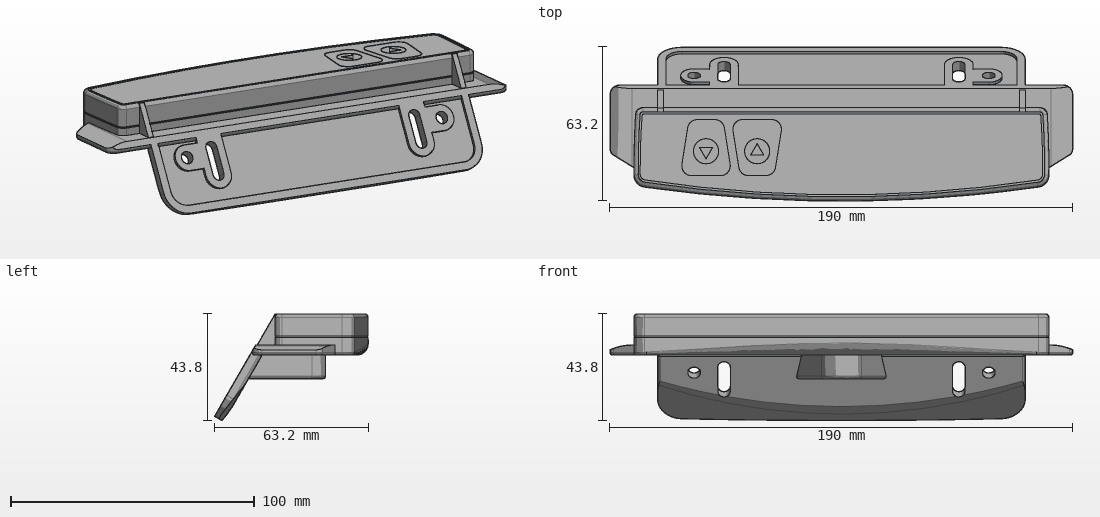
import cadquery as cq
import math


TOTAL_LENGTH = 190.0
TOTAL_DEPTH = 63.21
HOUSING_HEIGHT = 17.0

TILT = 30.0
TAN_TILT = math.tan(math.radians(TILT))
SIN_TILT = math.sin(math.radians(TILT))
COS_TILT = math.cos(math.radians(TILT))
ACROSS_FLAP = cq.selectors.ParallelDirSelector(cq.Vector(0, COS_TILT, SIN_TILT))
FLAP_FRONT = cq.selectors.DirectionMinMaxSelector(cq.Vector(0, -COS_TILT, -SIN_TILT), True)

FLAP_LENGTH = 29.0
FLAP_HALF_WIDTH = 75.5
FLAP_THICKNESS = 4.4
FLAP_ROOT = 2.0
FLAP_CORNER_RADIUS = 10.0
FLAP_FRONT_FILLET = 1.2
FLAP_RIM = 3.4
FLAP_POCKET_DEPTH = 1.2
LIGHT_BEVEL_ARC_RADIUS = 236.0
LIGHT_BEVEL_START = 21.8
LIGHT_BEVEL_ANGLE = 4.5
STEEP_BEVEL_ARC_RADIUS = 222.5
STEEP_BEVEL_START = 23.7
STEEP_BEVEL_ANGLE = 9.0
BEVEL_REACH = 40.0

BOSS_RADIUS = 5.9
ARM_RADIUS = 5.5
SLOT_WIDTH = 5.1
SLOT_X = 48.2
SLOT_LOW_CENTRE = 14.3
SLOT_HIGH_CENTRE = 25.8
HOLE_DIAMETER = 5.2
HOLE_X = 60.5
HOLE_CENTRE = 23.2

TIP_Y = FLAP_LENGTH * SIN_TILT
HOUSING_FRONT_Y = TIP_Y - TOTAL_DEPTH
HOUSING_DEPTH = 38.4
HOUSING_REAR_Y = HOUSING_FRONT_Y + HOUSING_DEPTH
HOUSING_HALF_WIDTH_FRONT = 85.2
HOUSING_HALF_WIDTH_REAR = 84.4
HOUSING_SIDE_BULGE = 0.3
FRONT_ARC_SAG = 6.4
REAR_CORNER_RADIUS = 3.0
SMALLEST_CORNER_RADIUS = 0.8
FRONT_CORNER_RADIUS = 5.1
TOP_FILLET = 1.6
BOTTOM_FILLET = 1.1
FRONT_ROUND_MIDDLE = 5.0
FRONT_ROUND_END = 1.3
FRONT_ROUND_FALLOFF = 1.5
SEAM_HEIGHT = 7.6
SEAM_WIDTH = 0.5
SEAM_DEPTH = 0.3
PANEL_INSET = 1.8
PANEL_GROOVE_WIDTH = 0.8
PANEL_GROOVE_DEPTH = 0.3

BUTTON_Y = HOUSING_FRONT_Y + 22.0
BUTTON_DEPTH = 23.0
BUTTON_NARROW = 14.0
BUTTON_WIDE = 21.3
BUTTON_CORNER_RADIUS = 4.0
BUTTON_RECESS = 0.15
RING_Y = HOUSING_FRONT_Y + 20.5
RING_DIAMETER = 10.3
ARROW_RADIUS = 3.1
DOWN_BUTTON_X = -55.6
UP_BUTTON_X = -34.6

WING_THICKNESS = 4.2
WING_TIP_THICKNESS = 2.2
WING_FLAT_HALF = 86.0
WING_REAR_STEP = 1.0
WING_REAR_RADIUS = 4.0
WING_SIDE_FRONT_Y = HOUSING_FRONT_Y + 19.8
WING_FRONT_Y = HOUSING_FRONT_Y + 13.6
WING_FRONT_HALF = 85.0
WING_FRONT_RADIUS = 3.0

RIB_THICKNESS = 2.4
RIB_SETBACK = 0.6

LUG_DEPTH = 9.7
LUG_NOSE_RADIUS = 8.8
LUG_NOSE_Y = HOUSING_FRONT_Y + 17.6
LUG_FLANK_SLOPE = 0.4
LUG_FILLET = 1.2


def housing_prism(inset, base_z, height):
    """Block with the housing's plan, drawn smaller by inset on every side."""
    half_front = HOUSING_HALF_WIDTH_FRONT - inset
    half_rear = HOUSING_HALF_WIDTH_REAR - inset
    front_y = HOUSING_FRONT_Y + inset
    rear_y = HOUSING_REAR_Y - inset
    corner_y = front_y + FRONT_ARC_SAG
    middle_x = (half_front + half_rear) / 2 + HOUSING_SIDE_BULGE
    middle_y = (corner_y + rear_y) / 2
    block = (
        cq.Workplane("XY", origin=(0, 0, base_z))
        .moveTo(-half_rear, rear_y)
        .lineTo(half_rear, rear_y)
        .threePointArc((middle_x, middle_y), (half_front, corner_y))
        .threePointArc((0, front_y), (-half_front, corner_y))
        .threePointArc((-middle_x, middle_y), (-half_rear, rear_y))
        .close()
        .extrude(height)
    )
    rear_radius = max(REAR_CORNER_RADIUS - inset, SMALLEST_CORNER_RADIUS)
    block = block.edges("|Z and >Y").fillet(rear_radius)
    return block.edges("|Z").edges("<Y").fillet(FRONT_CORNER_RADIUS - inset)


def housing_band(outer_inset, inner_inset, base_z, height):
    """Ring that follows the housing's outline between two insets."""
    outer = housing_prism(outer_inset, base_z, height)
    return outer.cut(housing_prism(inner_inset, base_z, height))


def front_round_cutter():
    """Waste below the lower front edge, whose rounding grows from both ends to the middle."""
    half = HOUSING_HALF_WIDTH_FRONT - FRONT_CORNER_RADIUS
    overshoot = 1.0
    arc_radius = (HOUSING_HALF_WIDTH_FRONT ** 2 + FRONT_ARC_SAG ** 2) / (2 * FRONT_ARC_SAG)
    diagonal = 1 - math.sqrt(0.5)
    wires = []
    for fraction in (-1.0, -0.5, 0.0, 0.5, 1.0):
        x = fraction * half
        edge_y = HOUSING_FRONT_Y + arc_radius - math.sqrt(arc_radius ** 2 - x ** 2)
        growth = 1 - abs(fraction) ** FRONT_ROUND_FALLOFF
        radius = FRONT_ROUND_END + (FRONT_ROUND_MIDDLE - FRONT_ROUND_END) * growth
        section = (
            cq.Workplane("YZ", origin=(x, 0, 0))
            .moveTo(edge_y + radius, 0)
            .threePointArc(
                (edge_y + diagonal * radius, diagonal * radius),
                (edge_y, radius),
            )
            .lineTo(edge_y - overshoot, radius)
            .lineTo(edge_y - overshoot, -overshoot)
            .lineTo(edge_y + radius, -overshoot)
            .close()
        )
        wires.append(section.val())
    return cq.Workplane("XY").newObject([cq.Solid.makeLoft(wires)])


def button_cutter(x, points_up):
    """Shallow button recess that leaves a round island with an arrow sunk in it."""
    direction = 1 if points_up else -1
    half_rear = (BUTTON_WIDE if points_up else BUTTON_NARROW) / 2
    half_front = (BUTTON_NARROW if points_up else BUTTON_WIDE) / 2
    half_depth = BUTTON_DEPTH / 2
    floor = cq.Workplane("XY", origin=(x, 0, HOUSING_HEIGHT - BUTTON_RECESS))
    pad = (
        floor.center(0, BUTTON_Y)
        .polyline([
            (-half_rear, half_depth),
            (half_rear, half_depth),
            (half_front, -half_depth),
            (-half_front, -half_depth),
        ])
        .close()
        .extrude(BUTTON_RECESS)
        .edges("|Z")
        .fillet(BUTTON_CORNER_RADIUS)
    )
    island = floor.center(0, RING_Y).circle(RING_DIAMETER / 2).extrude(BUTTON_RECESS)
    corners = []
    for angle in (90, 210, 330):
        turn = math.radians(angle)
        corners.append((ARROW_RADIUS * math.cos(turn), direction * ARROW_RADIUS * math.sin(turn)))
    arrow = floor.center(0, RING_Y).polyline(corners).close().extrude(BUTTON_RECESS)
    return pad.cut(island).union(arrow)


def make_housing():
    body = housing_prism(0, 0, HOUSING_HEIGHT)
    body = body.faces(">Z").edges().fillet(TOP_FILLET)
    body = body.faces("<Z").edges().fillet(BOTTOM_FILLET)
    body = body.cut(front_round_cutter())
    body = body.cut(housing_band(0, SEAM_DEPTH, SEAM_HEIGHT - SEAM_WIDTH / 2, SEAM_WIDTH))
    groove_floor = HOUSING_HEIGHT - PANEL_GROOVE_DEPTH
    groove_inner = PANEL_INSET + PANEL_GROOVE_WIDTH
    body = body.cut(housing_band(PANEL_INSET, groove_inner, groove_floor, PANEL_GROOVE_DEPTH))
    body = body.cut(button_cutter(DOWN_BUTTON_X, points_up=False))
    return body.cut(button_cutter(UP_BUTTON_X, points_up=True))


def make_wing():
    """Plate that sticks out at both ends, with tops falling to thin tips and a sloped rear edge."""
    half = TOTAL_LENGTH / 2
    drop = WING_THICKNESS - WING_TIP_THICKNESS
    run = half - WING_FLAT_HALF
    top_radius = (run ** 2 + drop ** 2) / (2 * drop)
    arc_x = run / 2
    arc_drop = top_radius - math.sqrt(top_radius ** 2 - arc_x ** 2)
    plan = (
        cq.Workplane("XY")
        .polyline([
            (-half, -WING_REAR_STEP),
            (half, -WING_REAR_STEP),
            (half, WING_SIDE_FRONT_Y),
            (WING_FRONT_HALF, WING_FRONT_Y),
            (-WING_FRONT_HALF, WING_FRONT_Y),
            (-half, WING_SIDE_FRONT_Y),
        ])
        .close()
        .extrude(WING_THICKNESS)
    )
    plan = plan.edges("|Z and >Y").fillet(WING_REAR_RADIUS)
    plan = plan.edges("|Z and (>X or <X)").edges("<Y").fillet(WING_FRONT_RADIUS)
    plan = plan.faces("<Z").edges().fillet(BOTTOM_FILLET)
    profile = (
        cq.Workplane("XZ", origin=(0, TOTAL_DEPTH, 0))
        .moveTo(-half, 0)
        .lineTo(half, 0)
        .lineTo(half, WING_TIP_THICKNESS)
        .threePointArc((WING_FLAT_HALF + arc_x, WING_THICKNESS - arc_drop), (WING_FLAT_HALF, WING_THICKNESS))
        .lineTo(-WING_FLAT_HALF, WING_THICKNESS)
        .threePointArc((-WING_FLAT_HALF - arc_x, WING_THICKNESS - arc_drop), (-half, WING_TIP_THICKNESS))
        .close()
        .extrude(2 * TOTAL_DEPTH)
    )
    rear_waste = (
        cq.Workplane("YZ", origin=(-half, 0, 0))
        .polyline([(0, 0), (-WING_THICKNESS * TAN_TILT, WING_THICKNESS), (0, WING_THICKNESS)])
        .close()
        .extrude(TOTAL_LENGTH)
    )
    return plan.intersect(profile).cut(rear_waste)


def make_rib(side):
    """Triangular gusset whose sloped edge runs parallel to the rear plane."""
    outer_x = FLAP_HALF_WIDTH if side > 0 else RIB_THICKNESS - FLAP_HALF_WIDTH
    inside_y = HOUSING_REAR_Y - PANEL_INSET
    top_z = HOUSING_HEIGHT
    return (
        cq.Workplane("YZ", origin=(outer_x - RIB_THICKNESS, 0, 0))
        .polyline([
            (-RIB_SETBACK - BOTTOM_FILLET * TAN_TILT, BOTTOM_FILLET),
            (-RIB_SETBACK - top_z * TAN_TILT, top_z),
            (inside_y, top_z),
            (inside_y, BOTTOM_FILLET),
        ])
        .close()
        .extrude(RIB_THICKNESS)
    )


def make_lug():
    """Boss with a round nose and flanks that spread rearwards until they are inside the flap."""
    flank_angle = math.atan(LUG_FLANK_SLOPE)
    tangent_x = LUG_NOSE_RADIUS * math.cos(flank_angle)
    centre_y = LUG_NOSE_Y + LUG_NOSE_RADIUS
    tangent_y = centre_y - LUG_NOSE_RADIUS * math.sin(flank_angle)
    rear_y = LUG_DEPTH * TAN_TILT
    rear_x = tangent_x + (rear_y - tangent_y) * LUG_FLANK_SLOPE
    lug = (
        cq.Workplane("XY", origin=(0, 0, -LUG_DEPTH))
        .moveTo(-rear_x, rear_y)
        .lineTo(-tangent_x, tangent_y)
        .threePointArc((0, LUG_NOSE_Y), (tangent_x, tangent_y))
        .lineTo(rear_x, rear_y)
        .close()
        .extrude(LUG_DEPTH + BOTTOM_FILLET)
    )
    lug = lug.faces("<Z").edges("not >Y").fillet(LUG_FILLET)
    behind_flap_middle = (
        cq.Workplane("YZ", origin=(-rear_x, 0, 0))
        .polyline([
            (rear_y, -LUG_DEPTH),
            (rear_y, WING_THICKNESS),
            (-FLAP_THICKNESS / 2 - WING_THICKNESS * TAN_TILT, WING_THICKNESS),
            (-FLAP_THICKNESS / 2 + LUG_DEPTH * TAN_TILT, -LUG_DEPTH),
        ])
        .close()
        .extrude(2 * rear_x)
    )
    return lug.cut(behind_flap_middle)


def flap_plane(depth=0.0):
    """Plane parallel to the flap's rear face: local y runs up the slope from the tip, z points rearwards."""
    plane = cq.Plane(
        origin=(0, TIP_Y, -FLAP_LENGTH * COS_TILT),
        xDir=(-1, 0, 0),
        normal=(0, COS_TILT, SIN_TILT),
    )
    return cq.Workplane(plane).workplane(offset=-depth)


def rounded_strip(x_inner, x_outer, y_low, y_high, radius, depth, height):
    """Bar with round ends on the flap, between two end centres that share an x or a y."""
    length = math.hypot(x_outer - x_inner, y_high - y_low) + 2 * radius
    angle = math.degrees(math.atan2(y_high - y_low, x_outer - x_inner))
    return (
        flap_plane(depth)
        .center((x_inner + x_outer) / 2, (y_low + y_high) / 2)
        .slot2D(length, 2 * radius, angle)
        .extrude(height)
    )


def flap_pocket():
    """Shallow pocket in the rear face, leaving a rim and two L-shaped screw bosses."""
    half = FLAP_HALF_WIDTH - FLAP_RIM
    pocket_height = FLAP_LENGTH + FLAP_ROOT - FLAP_RIM
    pocket = (
        flap_plane(FLAP_POCKET_DEPTH)
        .center(0, FLAP_RIM + pocket_height / 2)
        .rect(2 * half, pocket_height)
        .extrude(FLAP_POCKET_DEPTH)
    )
    pocket = pocket.edges(ACROSS_FLAP).edges("<Z").fillet(FLAP_CORNER_RADIUS - FLAP_RIM)
    for side in (-1, 1):
        upright = rounded_strip(
            side * SLOT_X, side * SLOT_X, SLOT_LOW_CENTRE, FLAP_LENGTH + FLAP_ROOT,
            BOSS_RADIUS, FLAP_POCKET_DEPTH, FLAP_POCKET_DEPTH,
        )
        arm = rounded_strip(
            side * SLOT_X, side * HOLE_X, HOLE_CENTRE, HOLE_CENTRE,
            ARM_RADIUS, FLAP_POCKET_DEPTH, FLAP_POCKET_DEPTH,
        )
        pocket = pocket.cut(upright).cut(arm)
    return pocket


def flap_bevel(arc_radius, start, angle):
    """Conical waste that thins the front of the flap beyond an arc, towards the tip and its corners."""
    outer = arc_radius + BEVEL_REACH
    drop = BEVEL_REACH * math.tan(math.radians(angle))
    front = flap_plane(FLAP_THICKNESS).center(0, FLAP_LENGTH - start + arc_radius).plane
    section = cq.Plane(origin=front.origin, xDir=front.yDir, normal=-front.xDir)
    return (
        cq.Workplane(section)
        .polyline([
            (arc_radius, 0),
            (outer, drop),
            (outer, -drop),
        ])
        .close()
        .revolve(360, (0, 0, 0), (0, 1, 0))
    )


def make_flap():
    length = FLAP_LENGTH + FLAP_ROOT
    flap = (
        flap_plane(FLAP_THICKNESS)
        .center(0, length / 2)
        .rect(2 * FLAP_HALF_WIDTH, length)
        .extrude(FLAP_THICKNESS)
    )
    flap = flap.edges(ACROSS_FLAP).edges("<Z").fillet(FLAP_CORNER_RADIUS)
    flap = flap.faces(FLAP_FRONT).edges("not >Z").fillet(FLAP_FRONT_FILLET)
    flap = flap.cut(flap_bevel(LIGHT_BEVEL_ARC_RADIUS, LIGHT_BEVEL_START, LIGHT_BEVEL_ANGLE))
    flap = flap.cut(flap_bevel(STEEP_BEVEL_ARC_RADIUS, STEEP_BEVEL_START, STEEP_BEVEL_ANGLE))
    flap = flap.cut(flap_pocket())
    for side in (-1, 1):
        slot = rounded_strip(
            side * SLOT_X, side * SLOT_X, SLOT_LOW_CENTRE, SLOT_HIGH_CENTRE,
            SLOT_WIDTH / 2, FLAP_THICKNESS, FLAP_THICKNESS,
        )
        hole = (
            flap_plane(FLAP_THICKNESS)
            .center(side * HOLE_X, HOLE_CENTRE)
            .circle(HOLE_DIAMETER / 2)
            .extrude(FLAP_THICKNESS)
        )
        flap = flap.cut(slot).cut(hole)
    return flap


result = make_housing().union(make_wing()).union(make_rib(-1)).union(make_rib(1))
result = result.union(make_flap()).union(make_lug())